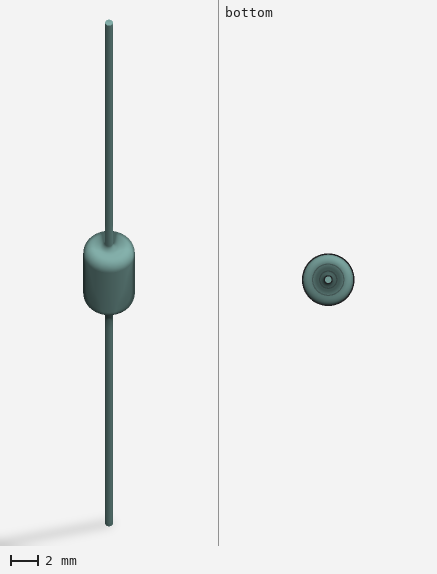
import cadquery as cq

overall_length = 57.65
lead_diameter = 0.6

body_diameter = 3.8
body_length = 6.1
body_edge_radius = 0.75

flare_radius = 0.35


def make_body():
    """Cylinder with both rims rounded."""
    body = cq.Workplane("XY").cylinder(body_length, body_diameter / 2)
    return body.edges("%CIRCLE").fillet(body_edge_radius)


def make_lead():
    """Wire spanning the full length of the part."""
    return cq.Workplane("XY").cylinder(overall_length, lead_diameter / 2)


def flare_lead_exits(part):
    """Fillet the inside corners between the wire and the body's end faces."""
    half_exit_box = lead_diameter
    exits = cq.selectors.BoxSelector(
        (-half_exit_box, -half_exit_box, -body_length),
        (half_exit_box, half_exit_box, body_length),
        boundingbox=True,
    )
    return part.edges(exits).edges("%CIRCLE").fillet(flare_radius)


result = flare_lead_exits(make_body().union(make_lead()))